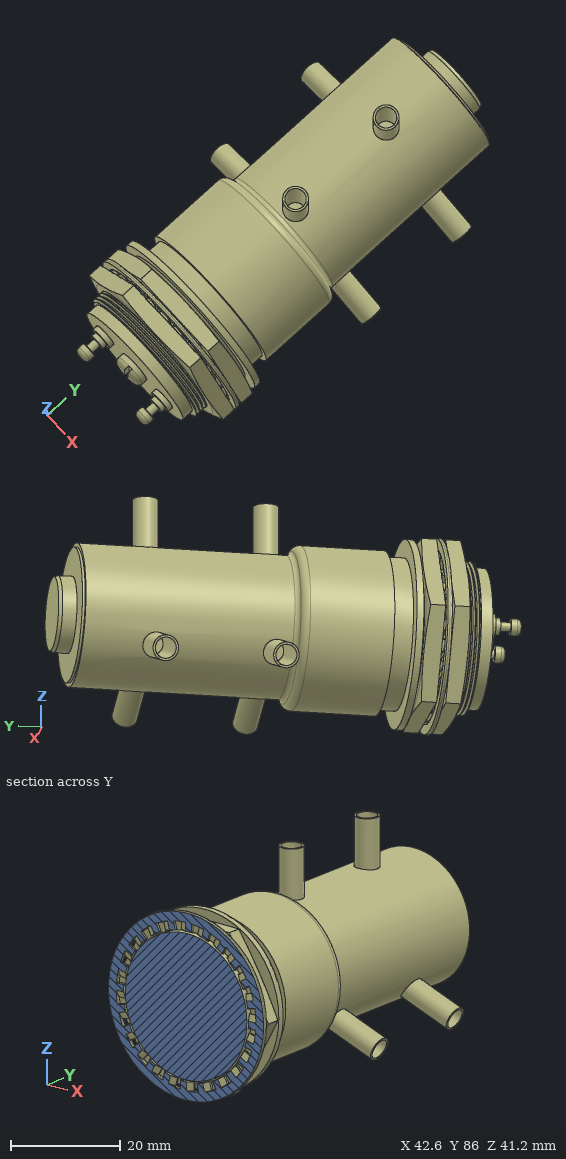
import cadquery as cq
import math


flange_diameter = 35.1
flange_thickness = 1.3
neck_diameter = 28.2
shell_front_y = 5.0
shell_diameter = 30.5
shoulder_front_y = 20.7
shoulder_rear_y = 23.27
shoulder_hollow_radius = 1.05
ceramic_diameter = 26.6
ceramic_rear_y = 62.25
rear_step_diameter = 25.0
rear_step_height = 0.5
cap_diameter = 14.2
cap_length = 3.37
cap_chamfer_length = 0.7
cap_chamfer_width = 0.25

thread_diameter = 28.4
thread_pitch = 0.79
thread_depth = 0.5
thread_crest = 0.1
thread_start_angle = 180.0
thread_front_y = -11.45
relief_length = 0.7
relief_back_diameter = 29.9
relief_front_diameter = 28.9
end_disc_diameter = 26.2
end_face_y = -13.75

screw_diameter = 6.5
screw_height = 2.2
screw_round = 1.1
screw_slot_width = 0.85
screw_slot_depth = 1.1
terminal_offset = 8.0
collar_diameter = 4.6
collar_length = 1.1
seat_diameter = 3.2
seat_length = 1.0
stem_diameter = 1.8
stem_length = 2.0
ball_diameter = 3.2
ball_length = 2.03
ball_round = 0.9

nut_flats = 31.6
nut_thickness = 3.25
nut_chamfer_height = 0.45
nut_gap = 1.7
washer_diameter = 36.25
washer_thickness = 0.8
washer_root_radius = 16.2
tooth_count = 24
tooth_width = 2.8
tooth_thread_clearance = 0.3

tube_diameter = 4.75
tube_bore = 3.9
tube_length = 14.0
tube_rows_y = (26.2, 48.7)
top_tube_end = (0.0, 23.03)
side_tube_end = (20.445, -12.2)
side_tube_tilt = 21.0

thread_radius = thread_diameter / 2
rear_nut_y = -relief_length
washer_y = rear_nut_y - nut_thickness - nut_gap / 2
front_nut_y = rear_nut_y - nut_thickness - nut_gap


def rod(diameter, start_y, end_y, x=0.0):
    """Round bar parallel to Y between two Y positions."""
    return (
        cq.Workplane("XZ", origin=(x, start_y, 0))
        .circle(diameter / 2)
        .extrude(start_y - end_y)
    )


def revolved_core():
    """Turned outline of the relay, from the rear cap to the end face."""
    shell_radius = shell_diameter / 2
    ceramic_radius = ceramic_diameter / 2
    rise = shell_radius - ceramic_radius
    run = shoulder_rear_y - shoulder_front_y
    arc_radius_sum = (rise**2 + run**2) / (2 * rise)
    shoulder_round = arc_radius_sum - shoulder_hollow_radius
    hollow_share = shoulder_hollow_radius / arc_radius_sum
    bend_radius = ceramic_radius + hollow_share * rise
    bend_y = shoulder_rear_y - hollow_share * run
    cap_radius = cap_diameter / 2
    rear_step_y = ceramic_rear_y + rear_step_height
    cap_rear_y = rear_step_y + cap_length
    outline = (
        cq.Workplane("XY")
        .moveTo(0, end_face_y)
        .lineTo(end_disc_diameter / 2, end_face_y)
        .lineTo(end_disc_diameter / 2, thread_front_y)
        .lineTo(thread_radius, thread_front_y)
        .lineTo(thread_radius, -relief_length)
        .lineTo(relief_front_diameter / 2, -relief_length)
        .lineTo(relief_back_diameter / 2, 0)
        .lineTo(flange_diameter / 2, 0)
        .lineTo(flange_diameter / 2, flange_thickness)
        .lineTo(neck_diameter / 2, flange_thickness)
        .lineTo(neck_diameter / 2, shell_front_y)
        .lineTo(shell_radius, shell_front_y)
        .lineTo(shell_radius, shoulder_front_y)
        .radiusArc((bend_radius, bend_y), -shoulder_round)
        .radiusArc((ceramic_radius, shoulder_rear_y), shoulder_hollow_radius)
        .lineTo(ceramic_radius, ceramic_rear_y)
        .lineTo(rear_step_diameter / 2, ceramic_rear_y)
        .lineTo(rear_step_diameter / 2, rear_step_y)
        .lineTo(cap_radius, rear_step_y)
        .lineTo(cap_radius, cap_rear_y - cap_chamfer_length)
        .lineTo(cap_radius - cap_chamfer_width, cap_rear_y)
        .lineTo(0, cap_rear_y)
        .close()
    )
    return outline.revolve(360, (0, 0, 0), (0, 1, 0))


def thread_groove():
    """Helical V groove that leaves the thread crests standing on the threaded barrel."""
    overcut = 0.1
    start_y = thread_front_y - thread_pitch
    groove_length = front_nut_y - start_y
    half_width = (thread_pitch - thread_crest) / 2
    half_outer = half_width * (1 + overcut / thread_depth)
    outer = thread_radius + overcut
    helix = cq.Wire.makeHelix(thread_pitch, groove_length, thread_radius)
    profile = (
        cq.Workplane("XZ")
        .moveTo(thread_radius - thread_depth, 0)
        .lineTo(outer, half_outer)
        .lineTo(outer, -half_outer)
        .close()
    )
    groove = profile.sweep(cq.Workplane(obj=helix), isFrenet=True)
    turned = groove.rotate((0, 0, 0), (0, 0, 1), thread_start_angle)
    return turned.rotate((0, 0, 0), (1, 0, 0), -90).translate((0, start_y, 0))


def slotted_screw():
    """Pan-head screw whose slot runs along Z."""
    face_y = end_face_y - screw_height
    head = rod(screw_diameter, end_face_y, face_y).faces("<Y").edges().fillet(screw_round)
    slot = cq.Workplane("XY").box(screw_slot_width, 2 * screw_slot_depth, screw_diameter)
    return head.cut(slot.translate((0, face_y, 0)))


def solder_terminal(x):
    """Stepped terminal post with a round-nosed head."""
    collar_y = end_face_y - collar_length
    seat_y = collar_y - seat_length
    stem_y = seat_y - stem_length
    tip_y = stem_y - ball_length
    head = rod(ball_diameter, stem_y, tip_y, x).faces("<Y").edges().fillet(ball_round)
    return (
        rod(collar_diameter, end_face_y, collar_y, x)
        .union(rod(seat_diameter, collar_y, seat_y, x))
        .union(rod(stem_diameter, seat_y, stem_y, x))
        .union(head)
    )


def tube_end_planes():
    """Planes of the outer tube ends, three per row, with normals pointing outward."""
    tilt = math.radians(side_tube_tilt)
    planes = []
    for y in tube_rows_y:
        planes.append(cq.Plane((top_tube_end[0], y, top_tube_end[1]), xDir=(0, 1, 0), normal=(0, 0, 1)))
        for side in (-1, 1):
            end = (side * side_tube_end[0], y, side_tube_end[1])
            outward = (side * math.cos(tilt), 0, -math.sin(tilt))
            planes.append(cq.Plane(end, xDir=(0, 1, 0), normal=outward))
    return planes


def tube_blank(plane):
    """Solid bar the size of a terminal tube, running inward from its outer end."""
    return cq.Workplane(plane).circle(tube_diameter / 2).extrude(-tube_length)


def main_body():
    body = revolved_core().cut(thread_groove())
    body = body.union(slotted_screw())
    for x in (-terminal_offset, terminal_offset):
        body = body.union(solder_terminal(x))
    for plane in tube_end_planes():
        body = body.cut(tube_blank(plane))
    return body


def hex_nut(rear_y, chamfer_at_rear):
    """Hexagon nut with corners on X, chamfered on its outward face."""
    flat_radius = nut_flats / 2
    corner_radius = flat_radius / math.cos(math.radians(30))
    blank = (
        cq.Workplane("XY")
        .polygon(6, 2 * corner_radius)
        .circle(thread_radius)
        .extrude(nut_thickness)
    )
    envelope = (
        cq.Workplane("XZ")
        .moveTo(0, 0)
        .lineTo(corner_radius, 0)
        .lineTo(corner_radius, nut_thickness - nut_chamfer_height)
        .lineTo(flat_radius, nut_thickness)
        .lineTo(0, nut_thickness)
        .close()
        .revolve(360, (0, 0, 0), (0, 1, 0))
    )
    nut = blank.intersect(envelope)
    if chamfer_at_rear:
        turned = nut.rotate((0, 0, 0), (1, 0, 0), -90)
        return turned.translate((0, rear_y - nut_thickness, 0))
    return nut.rotate((0, 0, 0), (1, 0, 0), 90).translate((0, rear_y, 0))


def lock_washer():
    """Internal-tooth lock washer; each tooth is twisted until it touches both nuts."""
    ring = (
        cq.Workplane("XY")
        .circle(washer_diameter / 2)
        .circle(washer_root_radius)
        .extrude(washer_thickness / 2, both=True)
    )
    diagonal = math.hypot(tooth_width, washer_thickness)
    flat_angle = math.atan2(washer_thickness, tooth_width)
    twist = math.degrees(flat_angle - math.asin(nut_gap / diagonal))
    tooth_zone = (
        cq.Workplane("XY")
        .circle(washer_root_radius)
        .circle(thread_radius + tooth_thread_clearance)
        .extrude(nut_gap, both=True)
    )
    blank = (
        cq.Workplane("XY")
        .box(washer_root_radius, tooth_width, washer_thickness)
        .translate((washer_root_radius, 0, 0))
        .rotate((0, 0, 0), (1, 0, 0), twist)
    )
    tooth = blank.intersect(tooth_zone)
    washer = ring
    for index in range(tooth_count):
        angle = index * 360 / tooth_count
        washer = washer.union(tooth.rotate((0, 0, 0), (0, 0, 1), angle))
    return washer.rotate((0, 0, 0), (1, 0, 0), 90).translate((0, washer_y, 0))


def terminal_tube(plane):
    """Open tube that stands in a flat-bottomed socket of the ceramic."""
    bore = cq.Workplane(plane).circle(tube_bore / 2).extrude(-tube_length)
    return tube_blank(plane).cut(bore)


body = main_body()
rear_nut = hex_nut(rear_nut_y, chamfer_at_rear=True)
front_nut = hex_nut(front_nut_y, chamfer_at_rear=False)
washer = lock_washer()

tubes = [terminal_tube(plane) for plane in tube_end_planes()]

result = cq.Compound.makeCompound(
    [body.val(), rear_nut.val(), front_nut.val(), washer.val(), *[tube.val() for tube in tubes]]
)